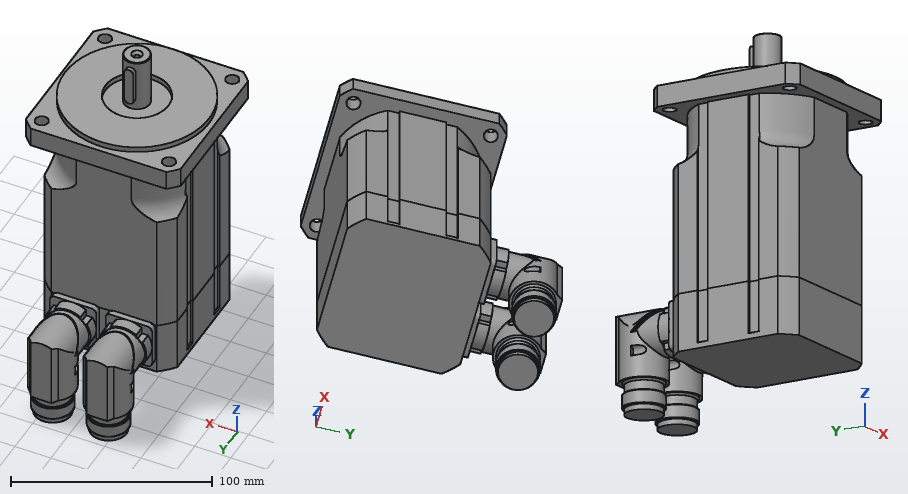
import cadquery as cq
import math


overall_depth = 119.0
cover_height = 30.0
housing_height = 127.0
flange_thickness = 11.0
pilot_height = 3.0
shaft_length = 30.0

body_width = 74.0
body_corner_diameter = 94.2
relief_diameter = 80.0
relief_height = 20.0
relief_fillet = 10.0

groove_inner_y = 12.0
groove_outer_y = 18.0
groove_depth = 1.1
groove_bottom_z = 3.0

flange_width = 86.0
flange_corner_diameter = 114.4
pilot_diameter = 80.0
recess_diameter = 35.0
mount_hole_diameter = 7.0
mount_hole_offset = 35.3

shaft_diameter = 14.0
shaft_chamfer = 0.4
key_width = 5.0
key_length = 22.0
key_top_y = 9.1
key_tip_gap = 3.5
centre_hole_diameter = 2.7
centre_hole_depth = 5.7
countersink_diameter = 5.7
countersink_angle = 90

connector_spacing = 31.0
elbow_y = 62.9
elbow_z = 17.9
elbow_diameter = 25.0
elbow_top_radius = 13.0
elbow_bottom_z = -5.7
ridge_half_width = 5.7
ridge_root_half_width = 7.8
ridge_root_reach = 9.9
sleeve_diameter = 24.0
joint_diameter = 23.2
joint_gap = 1.7
collar_diameter = 25.8
collar_front_y = 46.5
collar_back_y = 40.3
collar_arm_half_width = 7.2
base_width = 25.8
base_corner_radius = 2.8
screw_hole_diameter = 5.1
screw_hole_z = 8.2
socket_diameter = 20.0
socket_ring_diameter = 22.0
socket_ring_top_z = -11.5
socket_ring_bottom_z = -19.2
socket_ring_chamfer = 0.5
socket_bottom_z = -22.0
socket_cone_height = 1.1

ridge_reach = overall_depth - flange_width / 2 - elbow_y
half_body = body_width / 2
flange_front_z = housing_height + flange_thickness
shaft_tip_z = flange_front_z + shaft_length


def rounded_square(width, corner_diameter, bottom_z, height):
    """Square prism whose corners are trimmed by a cylinder about the motor axis."""
    square = cq.Workplane("XY").workplane(offset=bottom_z).rect(width, width).extrude(height)
    trim = cq.Workplane("XY").workplane(offset=bottom_z).circle(corner_diameter / 2).extrude(height)
    return square.intersect(trim)


def cut_side_grooves(body):
    """Cut the two grooves in each X side, open towards the flange."""
    width = groove_outer_y - groove_inner_y
    middle_y = (groove_inner_y + groove_outer_y) / 2
    grooves = (
        cq.Workplane("XY")
        .workplane(offset=groove_bottom_z)
        .pushPoints([(sx * half_body, sy * middle_y) for sx in (-1, 1) for sy in (-1, 1)])
        .rect(2 * groove_depth, width)
        .extrude(housing_height - groove_bottom_z)
    )
    return body.cut(grooves)


def corner_relief():
    """Ring cut away around the neck, ending in a concave fillet towards the corners."""
    neck_radius = relief_diameter / 2
    outer_radius = neck_radius + relief_fillet
    fillet_top_z = housing_height - relief_height
    diagonal = relief_fillet * math.sqrt(0.5)
    return (
        cq.Workplane("XZ")
        .moveTo(neck_radius, housing_height)
        .lineTo(neck_radius, fillet_top_z)
        .threePointArc(
            (outer_radius - diagonal, fillet_top_z - diagonal),
            (outer_radius, fillet_top_z - relief_fillet),
        )
        .lineTo(outer_radius, housing_height)
        .close()
        .revolve(360, (0, 0, 0), (0, 1, 0))
    )


def make_cover():
    cover = rounded_square(body_width, body_corner_diameter, 0, cover_height)
    return cut_side_grooves(cover)


def make_housing():
    body = rounded_square(body_width, body_corner_diameter, cover_height, housing_height - cover_height)
    body = cut_side_grooves(body).cut(corner_relief())
    flange = rounded_square(flange_width, flange_corner_diameter, housing_height, flange_thickness)
    mount_holes = (
        cq.Workplane("XY")
        .workplane(offset=housing_height)
        .rect(2 * mount_hole_offset, 2 * mount_hole_offset, forConstruction=True)
        .vertices()
        .circle(mount_hole_diameter / 2)
        .extrude(flange_thickness)
    )
    pilot = (
        cq.Workplane("XY")
        .workplane(offset=flange_front_z)
        .circle(pilot_diameter / 2)
        .circle(recess_diameter / 2)
        .extrude(pilot_height)
    )
    return body.union(flange.cut(mount_holes)).union(pilot)


def make_shaft():
    """Shaft with its key, standing on the floor of the pilot recess."""
    shaft = (
        cq.Workplane("XY")
        .workplane(offset=flange_front_z)
        .circle(shaft_diameter / 2)
        .extrude(shaft_length)
        .faces(">Z")
        .chamfer(shaft_chamfer)
    )
    key_middle_z = shaft_tip_z - key_tip_gap - key_length / 2
    key = (
        cq.Workplane("XZ")
        .center(0, key_middle_z)
        .slot2D(key_length, key_width, 90)
        .extrude(-key_top_y)
    )
    return (
        shaft.union(key)
        .faces(">Z")
        .workplane(origin=(0, 0, shaft_tip_z))
        .cskHole(centre_hole_diameter, countersink_diameter, countersink_angle, centre_hole_depth)
    )


def cylinder_along_y(diameter, x, z, start_y, end_y):
    return (
        cq.Workplane("XZ", origin=(x, start_y, z)).circle(diameter / 2).extrude(start_y - end_y)
    )


def make_elbow():
    """Upright part: round with a ridge at the rear, domed on top and mitred towards the sleeve."""
    height = elbow_z + elbow_top_radius - elbow_bottom_z
    floor = cq.Workplane("XY", origin=(0, elbow_y, elbow_bottom_z))
    column = floor.circle(elbow_diameter / 2).extrude(height)
    ridge = (
        floor.moveTo(-ridge_root_half_width, 0)
        .lineTo(-ridge_root_half_width, ridge_root_reach)
        .lineTo(-ridge_half_width, ridge_reach)
        .lineTo(ridge_half_width, ridge_reach)
        .lineTo(ridge_root_half_width, ridge_root_reach)
        .lineTo(ridge_root_half_width, 0)
        .close()
        .extrude(height)
    )
    reach = 2 * ridge_reach
    dome = (
        cq.Workplane("XZ", origin=(0, elbow_y - ridge_reach, 0))
        .moveTo(-elbow_top_radius, elbow_bottom_z)
        .lineTo(-elbow_top_radius, elbow_z)
        .threePointArc((0, elbow_z + elbow_top_radius), (elbow_top_radius, elbow_z))
        .lineTo(elbow_top_radius, elbow_bottom_z)
        .close()
        .extrude(-reach)
    )
    mitre = (
        cq.Workplane("YZ", origin=(0, elbow_y, elbow_z))
        .polyline([(0, 0), (-reach, reach), (-reach, 0)])
        .close()
        .extrude(elbow_top_radius, both=True)
    )
    elbow = column.union(ridge).intersect(dome).cut(mitre)
    for side in (-1, 1):
        screw_x = side * elbow_diameter / 2
        front_y = elbow_y - elbow_top_radius
        elbow = elbow.cut(
            cylinder_along_y(screw_hole_diameter, screw_x, screw_hole_z, front_y, elbow_y)
        )
    return elbow


def make_sleeve():
    """Horizontal part: sleeve cut back at 45 degrees, leaving a narrow joint before the elbow."""
    joint = cylinder_along_y(joint_diameter, 0, elbow_z, collar_front_y, elbow_y)
    reach = 2 * sleeve_diameter
    cut_back = (
        cq.Workplane("YZ", origin=(0, elbow_y - joint_gap, elbow_z))
        .polyline([(reach, -reach), (-reach, reach), (reach, reach)])
        .close()
        .extrude(sleeve_diameter, both=True)
    )
    sleeve = cylinder_along_y(sleeve_diameter, 0, elbow_z, collar_front_y, elbow_y).cut(cut_back)
    return sleeve.union(joint)


def make_collar():
    """Round collar with four right-angled corner notches, on a square base against the motor."""
    collar = cylinder_along_y(collar_diameter, 0, elbow_z, collar_back_y, collar_front_y)
    notch_side = collar_diameter / 2
    notch_offset = collar_arm_half_width + notch_side / 2
    notches = (
        cq.Workplane("XZ", origin=(0, collar_front_y, elbow_z))
        .rect(2 * notch_offset, 2 * notch_offset, forConstruction=True)
        .vertices()
        .rect(notch_side, notch_side)
        .extrude(collar_front_y - collar_back_y)
    )
    collar = collar.cut(notches)
    base = (
        cq.Workplane("XZ", origin=(0, half_body, elbow_z))
        .rect(base_width, base_width)
        .extrude(half_body - collar_back_y)
        .edges("|Y")
        .fillet(base_corner_radius)
    )
    return collar.union(base)


def make_socket():
    """Plug end below the elbow: cone, neck and locking ring."""
    socket_radius = socket_diameter / 2
    ring_radius = socket_ring_diameter / 2
    ring_inner = ring_radius - socket_ring_chamfer
    return (
        cq.Workplane("XZ", origin=(0, elbow_y, 0))
        .moveTo(0, elbow_bottom_z)
        .lineTo(ring_radius, elbow_bottom_z)
        .lineTo(socket_radius, elbow_bottom_z - socket_cone_height)
        .lineTo(socket_radius, socket_ring_top_z)
        .lineTo(ring_inner, socket_ring_top_z)
        .lineTo(ring_radius, socket_ring_top_z - socket_ring_chamfer)
        .lineTo(ring_radius, socket_ring_bottom_z + socket_ring_chamfer)
        .lineTo(ring_inner, socket_ring_bottom_z)
        .lineTo(socket_radius, socket_ring_bottom_z)
        .lineTo(socket_radius, socket_bottom_z)
        .lineTo(0, socket_bottom_z)
        .close()
        .revolve(360, (0, 0, 0), (0, 1, 0))
    )


def make_connector(x):
    connector = make_elbow().union(make_sleeve()).union(make_collar()).union(make_socket())
    return connector.translate((x, 0, 0))


housing = make_housing()
cover = make_cover()
shaft = make_shaft()
connectors = [make_connector(side * connector_spacing / 2) for side in (-1, 1)]

result = cq.Compound.makeCompound(
    [housing.val(), cover.val(), shaft.val(), *[connector.val() for connector in connectors]]
)